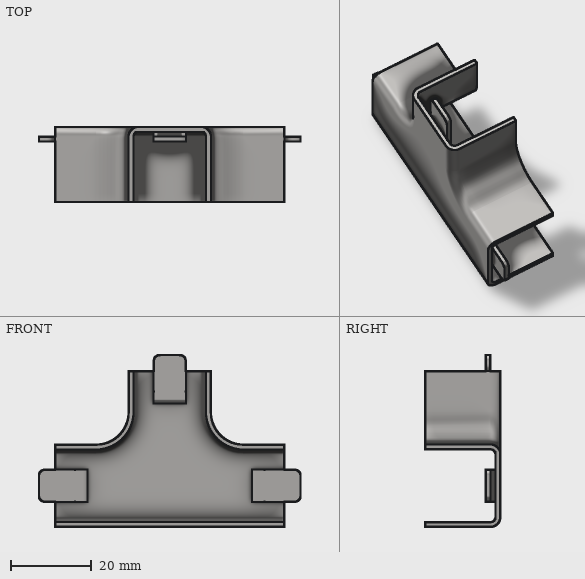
import cadquery as cq

wall = 1.25
overall_length = 65
depth = 18.7
channel_width = 20.5
tab_reach = 4.0
overall_height = 42.7

body_length = overall_length - 2 * tab_reach
body_height = overall_height - tab_reach

inner_bend = 1.25
outer_bend = inner_bend + wall
corner_radius = 8.0

tab_width = 8.0
tab_length = 12.0
tab_corner = 1.5
tab_gap = 1.25
tab_thickness = wall
tab_bend = 1.0
foot_length = 3.0
tab_rise = tab_gap + tab_thickness

plate_front = -wall


def tee_block(inset, y_back, overrun):
    """T-shaped prism inset from the outer walls, running toward -Y from y_back."""
    half_length = body_length / 2 + overrun
    half_stem = channel_width / 2 - inset
    bottom = inset
    shoulder = channel_width - inset
    top = body_height + overrun
    radius = corner_radius + inset
    sweep_x = channel_width / 2 + corner_radius
    sweep_z = channel_width + corner_radius
    profile = (
        cq.Workplane("XZ", origin=(0, y_back, 0))
        .moveTo(-half_length, bottom)
        .lineTo(half_length, bottom)
        .lineTo(half_length, shoulder)
        .lineTo(sweep_x, shoulder)
        .radiusArc((half_stem, sweep_z), radius)
        .lineTo(half_stem, top)
        .lineTo(-half_stem, top)
        .lineTo(-half_stem, sweep_z)
        .radiusArc((-sweep_x, shoulder), radius)
        .lineTo(-half_length, shoulder)
        .close()
    )
    return profile.extrude(depth + y_back + overrun)


def round_back_edges(block, radius):
    """Round the back edges along the walls, leaving the three open ends sharp."""
    walls = block.faces(">Y").edges().vals()
    open_ends = block.faces("<X or >X or >Z").edges().vals()
    bends = [edge for edge in walls if not any(edge.isSame(end) for end in open_ends)]
    return block.newObject(bends).fillet(radius)


def tab():
    """Upper tab: a rounded tongue held off the plate by a foot at its lower end."""
    root = overall_height - tab_length
    tongue = (
        cq.Workplane("XY")
        .box(tab_width, tab_thickness, tab_length, centered=(True, False, False))
        .translate((0, plate_front - tab_rise, root))
        .edges("|Y and >Z")
        .fillet(tab_corner)
    )
    foot = (
        cq.Workplane("XY")
        .box(tab_width, tab_rise, foot_length, centered=(True, False, False))
        .translate((0, plate_front - tab_rise, root))
    )
    return tongue.union(foot).edges("|X and <Y and <Z").fillet(tab_bend)


end_clearance = 0.65
shell = round_back_edges(tee_block(0, 0, 0), outer_bend)
cavity = round_back_edges(tee_block(wall, plate_front, end_clearance), inner_bend)
result = shell.cut(cavity)

upper_tab = tab()
result = result.union(upper_tab)
channel_axis = channel_width / 2
side_shift = overall_length / 2 - overall_height
for side in (-1, 1):
    side_tab = (
        upper_tab.rotate((0, 0, 0), (0, 1, 0), side * 90)
        .translate((side * side_shift, 0, channel_axis))
    )
    result = result.union(side_tab)